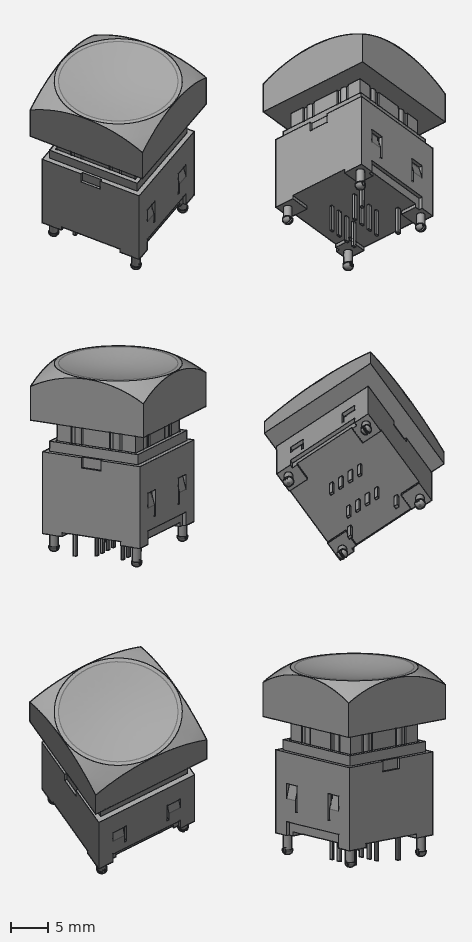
import cadquery as cq
import math


TOTAL_HEIGHT = 26.6
CAP_BOTTOM = 19.6
COLLAR_TOP = 16.47
COVER_TOP = 15.05
COVER_BOTTOM = 13.62
FLAP_BOTTOM = 5.5
FLOOR_LEVEL = 4.15
FOOT_BOTTOM = 3.6

CAP_WIDTH = 17.4
DOME_RADIUS = 20.0
RIM_RADIUS = 8.62
DISH_RADIUS = 8.03
DISH_DEPTH = 0.8

NECK_WIDTH = 12.08
RECESS_OFFSET = 2.98
RECESS_WIDTH = 1.9
RECESS_DEPTH = 0.25
POST_OFFSET = 2.95
POST_DIAMETER = 1.33

COLLAR_WIDTH = 13.6
COLLAR_OPENING = 12.35
BODY_WIDTH = 15.0
NOTCH_WIDTH = 2.95
NOTCH_DEPTH = 0.35
FLAP_WIDTH = 10.5
FLAP_THICKNESS = 0.5
CHANNEL_WIDTH = 9.02

WINDOW_WIDTH = 2.07
WINDOW_TOP = 10.77
WINDOW_BOTTOM = 7.1
HOOK_SIDE_GAP = 0.3
HOOK_TOP_GAP = 0.19
HOOK_RAMP_HEIGHT = 1.9

PEG_DIAMETER = 1.2
PEG_OFFSET = 6.35
BARB_DIAMETER = 1.44
BARB_BAND = 0.19
BARB_DOME = 0.59
LONG_PEG_TIP = 0.65
SHORT_PEG_TIP = 1.0
SLOT_WIDTH = 0.3
SLOT_TOP = 1.68

LAMP_ROW_X = -4.5
LAMP_PIN_THICKNESS = 0.43
LAMP_PIN_Y = 3.8
CONTACT_ROW_X = 2.0
CONTACT_PIN_THICKNESS = 0.3
OUTER_CONTACT_Y = 2.3
INNER_CONTACT_Y = 0.8
PIN_WIDTH = 0.5
INNER_CONTACT_WIDTH = 0.6

SIDES = (-1, 1)


def block(size_x, size_y, bottom, top, x=0, y=0):
    """Upright box centred on (x, y) between two Z levels."""
    box = cq.Workplane("XY").box(size_x, size_y, top - bottom, centered=(True, True, False))
    return box.translate((x, y, bottom))


def make_cap():
    """Square cap trimmed by a spherical dome, with a flat rim and a spherical dish."""
    cap = block(CAP_WIDTH, CAP_WIDTH, CAP_BOTTOM, TOTAL_HEIGHT)
    dome_center = TOTAL_HEIGHT - math.sqrt(DOME_RADIUS**2 - RIM_RADIUS**2)
    dome = cq.Workplane("XY").sphere(DOME_RADIUS).translate((0, 0, dome_center))
    dish_sphere_radius = (DISH_RADIUS**2 + DISH_DEPTH**2) / (2 * DISH_DEPTH)
    dish_center = TOTAL_HEIGHT - DISH_DEPTH + dish_sphere_radius
    dish = cq.Workplane("XY").sphere(dish_sphere_radius).translate((0, 0, dish_center))
    return cap.intersect(dome).cut(dish)


def make_neck():
    """Square neck; each side has two recesses, each holding a post tangent to the neck face."""
    neck = block(NECK_WIDTH, NECK_WIDTH, COVER_TOP, CAP_BOTTOM)
    recess_y = (NECK_WIDTH - RECESS_DEPTH) / 2
    post_y = (NECK_WIDTH - POST_DIAMETER) / 2
    for turn in range(4):
        for side in SIDES:
            recess = block(
                RECESS_WIDTH, RECESS_DEPTH, COVER_TOP, CAP_BOTTOM, side * RECESS_OFFSET, recess_y
            )
            post = (
                cq.Workplane("XY", origin=(side * POST_OFFSET, post_y, COVER_TOP))
                .circle(POST_DIAMETER / 2)
                .extrude(CAP_BOTTOM - COVER_TOP)
            )
            pocket = recess.cut(post).rotate((0, 0, 0), (0, 0, 1), 90 * turn)
            neck = neck.cut(pocket)
    return neck


def make_hook(side_x, side_y):
    """Snap hook on the base: a ramp rising from the flap recess to the outer face."""
    inner_x = BODY_WIDTH / 2 - FLAP_THICKNESS
    outer_x = BODY_WIDTH / 2
    hook_top = WINDOW_TOP - HOOK_TOP_GAP
    hook_width = WINDOW_WIDTH - HOOK_SIDE_GAP
    hook_y = side_y * (FLAP_WIDTH - hook_width) / 2
    profile = [
        (side_x * inner_x, WINDOW_BOTTOM),
        (side_x * outer_x, WINDOW_BOTTOM),
        (side_x * outer_x, hook_top - HOOK_RAMP_HEIGHT),
        (side_x * inner_x, hook_top),
    ]
    return (
        cq.Workplane("XZ", origin=(0, hook_y, 0))
        .polyline(profile)
        .close()
        .extrude(hook_width / 2, both=True)
    )


def make_housing():
    """Collar and base, joined to a cover whose flaps clip over the hooks on the X sides."""
    housing = block(BODY_WIDTH, BODY_WIDTH, FOOT_BOTTOM, COVER_TOP)
    housing = housing.union(block(COLLAR_WIDTH, COLLAR_WIDTH, COVER_TOP, COLLAR_TOP))
    housing = housing.cut(block(COLLAR_OPENING, COLLAR_OPENING, COVER_TOP, COLLAR_TOP))

    housing = housing.cut(block(CHANNEL_WIDTH, BODY_WIDTH, FOOT_BOTTOM, FLOOR_LEVEL))
    housing = housing.cut(block(BODY_WIDTH, CHANNEL_WIDTH, FOOT_BOTTOM, FLOOR_LEVEL))

    notch_y = (BODY_WIDTH - NOTCH_DEPTH) / 2
    flap_x = (BODY_WIDTH - FLAP_THICKNESS) / 2
    window_y = (FLAP_WIDTH - WINDOW_WIDTH) / 2
    for side in SIDES:
        housing = housing.cut(
            block(NOTCH_WIDTH, NOTCH_DEPTH, COVER_BOTTOM, COVER_TOP, y=side * notch_y)
        )
        housing = housing.cut(
            block(FLAP_THICKNESS, FLAP_WIDTH, FOOT_BOTTOM, FLAP_BOTTOM, x=side * flap_x)
        )
        for side_y in SIDES:
            window = block(
                FLAP_THICKNESS, WINDOW_WIDTH, WINDOW_BOTTOM, WINDOW_TOP, side * flap_x, side_y * window_y
            )
            housing = housing.cut(window.cut(make_hook(side, side_y)))
    return housing


def make_peg(x, y, tip):
    """Round peg with a barbed, domed tip, flattened on the X sides and slotted along X."""
    band_bottom = tip + BARB_DOME
    band_top = band_bottom + BARB_BAND
    shaft_radius = PEG_DIAMETER / 2
    barb_radius = BARB_DIAMETER / 2
    arc_middle = math.sqrt(0.5)
    peg = (
        cq.Workplane("XZ")
        .moveTo(0, FLOOR_LEVEL)
        .lineTo(shaft_radius, FLOOR_LEVEL)
        .lineTo(shaft_radius, band_top)
        .lineTo(barb_radius, band_top)
        .lineTo(barb_radius, band_bottom)
        .threePointArc(
            (barb_radius * arc_middle, band_bottom - BARB_DOME * arc_middle),
            (0, tip),
        )
        .close()
        .revolve(360, (0, 0, 0), (0, 1, 0))
    )
    peg = peg.intersect(block(PEG_DIAMETER, BARB_DIAMETER, tip, FLOOR_LEVEL))
    peg = peg.cut(block(PEG_DIAMETER, SLOT_WIDTH, SHORT_PEG_TIP, SLOT_TOP))
    return peg.translate((x, y, 0))


def make_pegs():
    """Four corner pegs, short and long ones on opposite diagonals."""
    pegs = cq.Workplane("XY")
    for side_x in SIDES:
        for side_y in SIDES:
            tip = SHORT_PEG_TIP if side_x == side_y else LONG_PEG_TIP
            pegs = pegs.add(make_peg(side_x * PEG_OFFSET, side_y * PEG_OFFSET, tip))
    return pegs


def make_terminals():
    """Two lamp pins near the -X side and two rows of contact pins."""
    pins = cq.Workplane("XY")
    for side_y in SIDES:
        pins = pins.add(
            block(LAMP_PIN_THICKNESS, PIN_WIDTH, 0, FLOOR_LEVEL, LAMP_ROW_X, side_y * LAMP_PIN_Y)
        )
        for side_x in SIDES:
            row_x = side_x * CONTACT_ROW_X
            for pin_y, width in (
                (OUTER_CONTACT_Y, PIN_WIDTH),
                (INNER_CONTACT_Y, INNER_CONTACT_WIDTH),
            ):
                pins = pins.add(
                    block(CONTACT_PIN_THICKNESS, width, 0, FLOOR_LEVEL, row_x, side_y * pin_y)
                )
    return pins


result = make_housing().union(make_neck()).union(make_cap())
for fitting in make_pegs().vals() + make_terminals().vals():
    result = result.union(cq.Workplane(fitting))